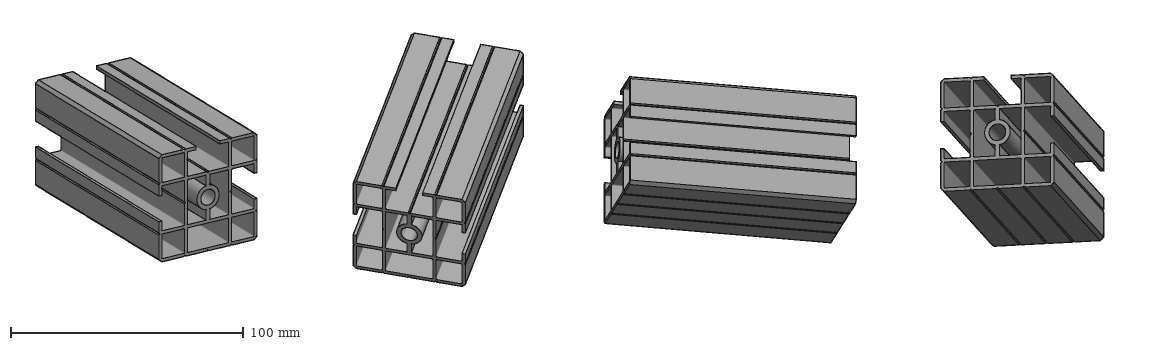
import cadquery as cq

length = 100.0
side = 50.0
wall = 1.5
corner_chamfer = 1.5
inner_fillet = 0.5
rib_inner = 10.5
rib_outer = 12.0
slot_opening = 12.0
tube_outer_diameter = 11.3
tube_bore_diameter = 7.3
web_thickness = 2.0
groove_spacing = 23.5
groove_width = 1.0
groove_depth = 0.5

half = side / 2
cavity_outer = half - wall
cell_size = cavity_outer - rib_outer
cell_center = (cavity_outer + rib_outer) / 2
groove_offset = groove_spacing / 2
core_size = 2 * rib_inner


def box(y_size, z_size, y_center=0.0, z_center=0.0):
    """Full-length bar along X with a rectangular section."""
    return cq.Workplane("XY").box(length, y_size, z_size).translate((0, y_center, z_center))


def hollow(y_size, z_size, y_center=0.0, z_center=0.0):
    """Full-length cutter for a hollow with rounded corners."""
    return box(y_size, z_size, y_center, z_center).edges("|X").fillet(inner_fillet)


def rotate_about_length(shape, angle):
    return shape.rotate((0, 0, 0), (1, 0, 0), angle)


def groove(y, surface_z):
    """V-groove cutter that opens upward at height surface_z."""
    return (
        cq.Workplane("YZ", origin=(-length / 2, 0, 0))
        .moveTo(y - groove_width / 2, surface_z)
        .lineTo(y + groove_width / 2, surface_z)
        .lineTo(y, surface_z - groove_depth)
        .close()
        .extrude(length)
    )


profile = box(side, side).edges("|X").chamfer(corner_chamfer)

for y_sign in (-1, 1):
    for z_sign in (-1, 1):
        profile = profile.cut(hollow(cell_size, cell_size, y_sign * cell_center, z_sign * cell_center))

chamber = hollow(core_size, cell_size, 0, cell_center)
opening = box(slot_opening, half - cell_center, 0, (half + cell_center) / 2)
bottom_angle = 180
for angle in (0, 90, bottom_angle, 270):
    is_open = angle != bottom_angle
    profile = profile.cut(rotate_about_length(chamber, angle))
    if is_open:
        profile = profile.cut(rotate_about_length(opening, angle))

    center_surface = rib_outer if is_open else half
    for y, surface in ((-groove_offset, half), (0, center_surface), (groove_offset, half)):
        profile = profile.cut(rotate_about_length(groove(y, surface), angle))

profile = profile.cut(hollow(core_size, core_size))
tube = cq.Workplane("YZ").circle(tube_outer_diameter / 2).extrude(length / 2, both=True)
bore = cq.Workplane("YZ").circle(tube_bore_diameter / 2).extrude(length / 2, both=True)
web_height = rib_inner + rib_outer
web = box(web_thickness, web_height)
result = profile.union(web).union(tube).cut(bore)